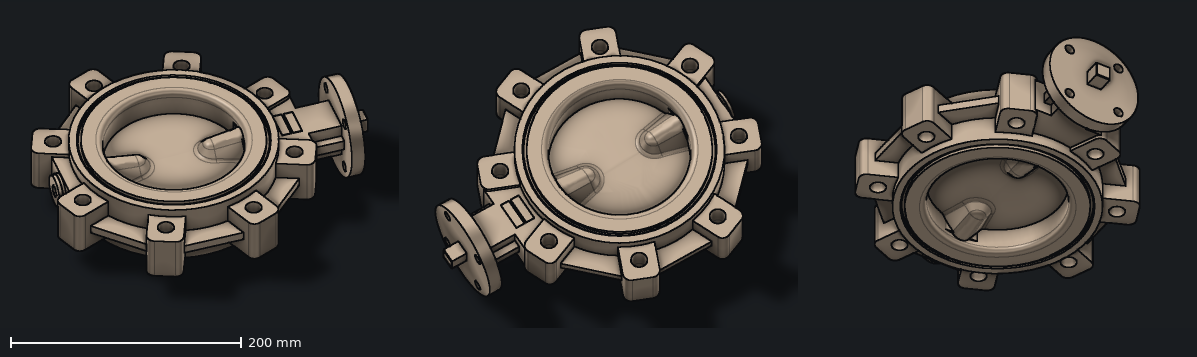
import cadquery as cq
import math

BODY_RADIUS = 91.2
BODY_HEIGHT = 56.2
BORE_RADIUS = 61.8
BORE_ROUNDING = 6.2

SEAT_RADIUS = 80.5
SEAT_RISE = 0.5
GROOVE_RADIUS = 83.3
GROOVE_DEPTH = 3.0
GROOVE_CHAMFER = 1.2

LUG_COUNT = 8
LUG_PITCH = 360.0 / LUG_COUNT
LUG_END_RADIUS = 123.5
LUG_WIDTH = 32.5
LUG_HEIGHT = 40.5
LUG_ROUNDING = 7.0
BOLT_CIRCLE_RADIUS = 105.0
BOLT_HOLE_DIAMETER = 14.0
WEB_DISTANCE = 108.0
WEB_THICKNESS = 8.0

BLOCK_HEIGHT = 33.2
TOP_BLOCK_END = 117.7
TOP_BLOCK_WIDTH = 70.5
BOTTOM_BLOCK_END = 103.3
BOTTOM_BLOCK_WIDTH = 58.8

NECK_WIDTH = 35.0
NECK_RIB_WIDTH = 49.0
NECK_RIB_THICKNESS = 9.7
FLANGE_RADIUS = 45.0
FLANGE_THICKNESS = 12.5
FLANGE_FACE = 160.3
FLANGE_BACK = FLANGE_FACE - FLANGE_THICKNESS
FLANGE_HOLE_CIRCLE_RADIUS = 35.0
FLANGE_HOLE_DIAMETER = 8.8
SHAFT_SQUARE = 13.8
SHAFT_END = 176.0
SHAFT_CHAMFER = 0.5

PLATE_WIDTH = 26.0
PLATE_LENGTH = 8.2
PLATE_RISE = 0.5
PLATE_POSITIONS = (99.2, 109.2)

PLUG_COLLAR_RADIUS = 15.0
PLUG_COLLAR_LENGTH = 2.6
PLUG_RADIUS = 14.0
PLUG_LENGTH = 6.2
PLUG_HEX_SIZE = 11.2
PLUG_HEX_DEPTH = 4.0

DISC_EDGE_HALF_THICKNESS = 3.2
DISC_CENTRE_HALF_THICKNESS = 7.0
DISC_BLANK_RADIUS = 76.5

HUB_DRAFT = math.radians(38)
HUB_OUTER_END = 58.8
HUB_OUTER_HALF_WIDTH = 22.5
HUB_OUTER_TOP = 21.5
HUB_SHOULDER = 34.5
HUB_SHOULDER_HALF_WIDTH = 18.5
HUB_SHOULDER_TOP = 17.7
HUB_FILLET = 4.5
HUB_BLANK_END = 73.5
FLAT_DISTANCE = 59.7
FLAT_HALF_HEIGHT = 18.2


def box_along_y(width, height, y_start, y_end):
    length = y_end - y_start
    return cq.Workplane("XY").box(width, length, height).translate((0, (y_start + y_end) / 2, 0))


def cylinder_along_y(radius, y_start, y_end):
    direction = cq.Vector(0, math.copysign(1, y_end - y_start), 0)
    solid = cq.Solid.makeCylinder(radius, abs(y_end - y_start), cq.Vector(0, y_start, 0), direction)
    return cq.Workplane(solid)


def make_body():
    half = BODY_HEIGHT / 2
    seat = half + SEAT_RISE
    floor = half - GROOVE_DEPTH
    arc_offset = BORE_ROUNDING * (1 - math.sqrt(0.5))
    rounding_start = seat - BORE_ROUNDING
    half_ring = (
        cq.Workplane("XZ")
        .moveTo(BORE_RADIUS, 0)
        .lineTo(BORE_RADIUS, rounding_start)
        .threePointArc((BORE_RADIUS + arc_offset, seat - arc_offset), (BORE_RADIUS + BORE_ROUNDING, seat))
        .lineTo(SEAT_RADIUS, seat)
        .lineTo(SEAT_RADIUS, floor)
        .lineTo(GROOVE_RADIUS, floor)
        .lineTo(GROOVE_RADIUS, half - GROOVE_CHAMFER)
        .lineTo(GROOVE_RADIUS + GROOVE_CHAMFER, half)
        .lineTo(BODY_RADIUS, half)
        .lineTo(BODY_RADIUS, 0)
        .close()
        .revolve(360, (0, 0, 0), (0, 1, 0))
    )
    return half_ring.union(half_ring.mirror("XY"))


def make_outer_frame():
    """Webs, lugs, end blocks and neck, opened in the middle and drilled for the bolts."""
    web_across_corners = 2 * WEB_DISTANCE / math.cos(math.pi / LUG_COUNT)
    frame = (
        cq.Workplane("XY")
        .polygon(LUG_COUNT, web_across_corners)
        .extrude(WEB_THICKNESS / 2, both=True)
        .rotate((0, 0, 0), (0, 0, 1), LUG_PITCH / 2)
        .intersect(box_along_y(3 * WEB_DISTANCE, BODY_HEIGHT, -BOTTOM_BLOCK_END, WEB_DISTANCE))
    )
    lug = (
        cq.Workplane("XY")
        .box(LUG_END_RADIUS, LUG_WIDTH, LUG_HEIGHT)
        .translate((LUG_END_RADIUS / 2, 0, 0))
        .edges("|Z and >X")
        .fillet(LUG_ROUNDING)
    )
    for index in range(LUG_COUNT):
        frame = frame.union(lug.rotate((0, 0, 0), (0, 0, 1), (index + 0.5) * LUG_PITCH))
    frame = frame.union(box_along_y(TOP_BLOCK_WIDTH, BLOCK_HEIGHT, 0, TOP_BLOCK_END))
    frame = frame.union(box_along_y(BOTTOM_BLOCK_WIDTH, BLOCK_HEIGHT, -BOTTOM_BLOCK_END, 0))
    frame = frame.union(box_along_y(NECK_WIDTH, BLOCK_HEIGHT, 0, FLANGE_BACK))
    frame = frame.union(box_along_y(NECK_RIB_WIDTH, NECK_RIB_THICKNESS, 0, FLANGE_BACK))
    opening_radius = (SEAT_RADIUS + BORE_RADIUS) / 2
    opening = cq.Workplane("XY").circle(opening_radius).extrude(BODY_HEIGHT, both=True)
    bolt_holes = (
        cq.Workplane("XY")
        .polarArray(BOLT_CIRCLE_RADIUS, LUG_PITCH / 2, 360, LUG_COUNT)
        .circle(BOLT_HOLE_DIAMETER / 2)
        .extrude(BODY_HEIGHT, both=True)
    )
    return frame.cut(opening).cut(bolt_holes)


def make_flange_and_shaft():
    flange = cylinder_along_y(FLANGE_RADIUS, FLANGE_BACK, FLANGE_FACE)
    hole = cylinder_along_y(FLANGE_HOLE_DIAMETER / 2, FLANGE_BACK, FLANGE_FACE)
    hole = hole.translate((FLANGE_HOLE_CIRCLE_RADIUS, 0, 0))
    for angle in (45, 135, 225, 315):
        flange = flange.cut(hole.rotate((0, 0, 0), (0, 1, 0), angle))
    shaft = box_along_y(SHAFT_SQUARE, SHAFT_SQUARE, FLANGE_FACE, SHAFT_END).faces(">Y").chamfer(SHAFT_CHAMFER)
    return flange.union(shaft)


def make_label_plates():
    return (
        cq.Workplane("XY", origin=(0, 0, BLOCK_HEIGHT / 2))
        .pushPoints([(0, y) for y in PLATE_POSITIONS])
        .rect(PLATE_WIDTH, PLATE_LENGTH)
        .extrude(PLATE_RISE)
    )


def make_plug():
    seat = -BOTTOM_BLOCK_END
    collar = cylinder_along_y(PLUG_COLLAR_RADIUS, seat, seat - PLUG_COLLAR_LENGTH)
    head = cylinder_along_y(PLUG_RADIUS, seat, seat - PLUG_LENGTH)
    socket = (
        cq.Workplane("XZ", origin=(0, seat - PLUG_LENGTH, 0))
        .polygon(6, PLUG_HEX_SIZE)
        .extrude(-PLUG_HEX_DEPTH)
    )
    return collar.union(head).cut(socket)


def make_dome_face():
    """Lens between the disc's mid plane and its domed upper face, wider than the bore."""
    rise = DISC_CENTRE_HALF_THICKNESS - DISC_EDGE_HALF_THICKNESS
    dome_radius = (BORE_RADIUS**2 + rise**2) / (2 * rise)
    dome_centre = (0, 0, DISC_CENTRE_HALF_THICKNESS - dome_radius)
    ball = cq.Workplane("XY").sphere(dome_radius).translate(dome_centre)
    slab = cq.Workplane("XY").circle(DISC_BLANK_RADIUS).extrude(DISC_CENTRE_HALF_THICKNESS)
    return slab.intersect(ball)


def hub_flank(half_width, top):
    """Point where the drafted side meets the round top, for one hub cross-section."""
    top_radius = (half_width - top * math.tan(HUB_DRAFT)) * math.cos(HUB_DRAFT) / (1 - math.sin(HUB_DRAFT))
    return top_radius * math.cos(HUB_DRAFT), top - top_radius * (1 - math.sin(HUB_DRAFT))


def hub_section(y, half_width, top):
    """Closed cross-section with straight drafted sides and a tangent round top."""
    flank_x, flank_z = hub_flank(half_width, top)
    return (
        cq.Workplane("XZ", origin=(0, y, 0))
        .moveTo(-half_width, 0)
        .lineTo(-flank_x, flank_z)
        .threePointArc((0, top), (flank_x, flank_z))
        .lineTo(half_width, 0)
        .close()
    )


def make_hub():
    """Tapered boss with a round top and nose, on the +Y side of the disc's upper face."""
    stretch = (HUB_BLANK_END - HUB_SHOULDER) / (HUB_OUTER_END - HUB_SHOULDER)
    end_half_width = HUB_SHOULDER_HALF_WIDTH + stretch * (HUB_OUTER_HALF_WIDTH - HUB_SHOULDER_HALF_WIDTH)
    end_top = HUB_SHOULDER_TOP + stretch * (HUB_OUTER_TOP - HUB_SHOULDER_TOP)
    end_section = hub_section(HUB_BLANK_END, end_half_width, end_top)
    shoulder_section = hub_section(HUB_SHOULDER, HUB_SHOULDER_HALF_WIDTH, HUB_SHOULDER_TOP)
    wires = [end_section.val(), shoulder_section.val()]
    barrel = cq.Workplane(cq.Solid.makeLoft(wires, True))

    flank_x, flank_z = hub_flank(HUB_SHOULDER_HALF_WIDTH, HUB_SHOULDER_TOP)
    top_radius = flank_x / math.cos(HUB_DRAFT)
    mid_angle = (HUB_DRAFT + math.pi / 2) / 2
    mid_x = top_radius * math.cos(mid_angle)
    mid_z = HUB_SHOULDER_TOP - top_radius * (1 - math.sin(mid_angle))
    nose = (
        cq.Workplane("XZ", origin=(0, HUB_SHOULDER, 0))
        .moveTo(0, 0)
        .lineTo(-HUB_SHOULDER_HALF_WIDTH, 0)
        .lineTo(-flank_x, flank_z)
        .threePointArc((-mid_x, mid_z), (0, HUB_SHOULDER_TOP))
        .close()
        .revolve(180, (0, 0, 0), (0, 1, 0))
    )
    return barrel.union(nose)


def make_disc():
    """Disc with two hubs on each side, trimmed to the bore."""
    hub = make_hub()
    half = make_dome_face().union(hub).union(hub.mirror("XZ"))
    root_zone = cq.selectors.BoxSelector(
        (-BORE_RADIUS / 2, -BORE_RADIUS, DISC_EDGE_HALF_THICKNESS / 2),
        (BORE_RADIUS / 2, BORE_RADIUS, DISC_CENTRE_HALF_THICKNESS),
    )
    half = half.edges(root_zone).fillet(HUB_FILLET)
    bore = cq.Workplane("XY").circle(BORE_RADIUS).extrude(BODY_HEIGHT)
    half = half.intersect(bore)
    return half.union(half.mirror("XY"), clean=False)


def make_shaft_flat():
    """Flat on the bore wall that the outer end of a hub bears on."""
    block = box_along_y(2 * BORE_RADIUS, 2 * FLAT_HALF_HEIGHT, FLAT_DISTANCE, BODY_RADIUS)
    limit = cq.Workplane("XY").circle((BORE_RADIUS + SEAT_RADIUS) / 2).extrude(BODY_HEIGHT, both=True)
    return block.intersect(limit)


flat = make_shaft_flat()
result = (
    make_body()
    .union(make_outer_frame())
    .union(make_flange_and_shaft())
    .union(make_label_plates())
    .union(make_plug())
    .union(flat)
    .union(flat.mirror("XZ"))
    .union(make_disc(), clean=False)
)